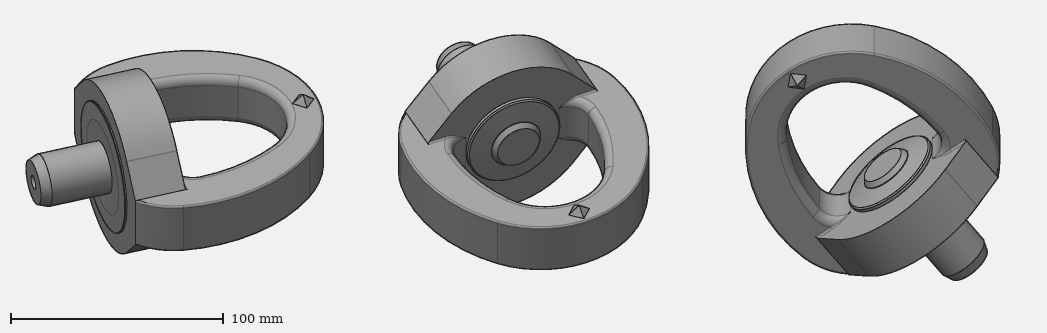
import cadquery as cq
import math


housing_depth = 25.0
housing_radius = 42.0
housing_half_width = 44.0

ring_thickness = 27.0
ring_half_thickness = ring_thickness / 2
ring_height = 106.0
ring_half_width = 57.32
ring_top_radius = 50.0
flank_radius = 80.0
flank_end_y = 20.0
ring_edge_fillet = 0.9
root_fillet = 0.9

window_top_y = 89.0
window_top_radius = 28.0
window_half_width = 34.7
window_edge_fillet = 4.0

mark_half_diagonal = 5.35
mark_height = 4.2
mark_y = 98.7

barrel_diameter = 40.0
flange_diameter = 64.0
flange_thickness = 1.0
flange_chamfer = 0.3
dish_diameter = 46.0
dish_depth = 0.3
cap_diameter = 48.0
cap_height = 2.3
cap_chamfer = 0.7
dome_height = 4.2
bush_bore_diameter = 25.6

bolt_diameter = 25.4
bolt_projection = 34.5
stub_height = 6.9
end_taper = 1.85
tip_taper_length = 5.0
stub_taper_length = 2.5

centre_hole_diameter = 3.15
centre_sink_diameter = 6.7
centre_sink_angle = 60.0
centre_pilot_length = 4.0
drill_point_angle = 120.0


def toward(start, target, distance):
    """Point at the given distance from start, in the direction of target."""
    span = math.dist(start, target)
    return tuple(s + (t - s) * distance / span for s, t in zip(start, target))


def mirrored(point):
    """The same point on the other side of the bolt axis."""
    return (-point[0], point[1])


def flank_center(half_width, top_center_y, top_radius):
    """Centre of the right flank arc that is tangent to the top arc and reaches half_width."""
    center_x = half_width - flank_radius
    drop = math.sqrt((flank_radius - top_radius) ** 2 - center_x**2)
    return (center_x, top_center_y - drop)


def on_circle(center, radius, angle):
    """Point on a circle at an angle in radians."""
    return (center[0] + radius * math.cos(angle), center[1] + radius * math.sin(angle))


def ring_plate():
    """Loop outline, closed across the housing front, with its rounded outer rim."""
    top_center = (0, ring_height - ring_top_radius)
    flank = flank_center(ring_half_width, top_center[1], ring_top_radius)
    shoulder = toward(flank, top_center, flank_radius)
    flank_end = on_circle(flank, flank_radius, math.asin((flank_end_y - flank[1]) / flank_radius))
    widest = (ring_half_width, flank[1])
    foot = (housing_half_width, 0)

    normal = toward((0, 0), (flank[0] - flank_end[0], flank[1] - flank_end[1]), 1)
    chord = (foot[0] - flank_end[0], foot[1] - flank_end[1])
    lower_radius = math.hypot(*chord) ** 2 / (2 * (normal[0] * chord[0] + normal[1] * chord[1]))
    lower_center = toward(flank_end, flank, lower_radius)
    chord_middle = ((flank_end[0] + foot[0]) / 2, (flank_end[1] + foot[1]) / 2)
    lower_middle = toward(lower_center, chord_middle, lower_radius)

    plate = (
        cq.Workplane("XY")
        .moveTo(*foot)
        .threePointArc(lower_middle, flank_end)
        .threePointArc(widest, shoulder)
        .threePointArc((0, ring_height), mirrored(shoulder))
        .threePointArc(mirrored(widest), mirrored(flank_end))
        .threePointArc(mirrored(lower_middle), mirrored(foot))
        .close()
        .extrude(ring_half_thickness, both=True)
    )
    return plate.faces("|Z").edges("not(|X)").fillet(ring_edge_fillet)


def window_cutter():
    """Prism that opens the ring."""
    top_center = (0, window_top_y - window_top_radius)
    flank = flank_center(window_half_width, top_center[1], window_top_radius)
    shoulder = toward(flank, top_center, flank_radius)
    flank_end = (window_half_width, flank[1])
    flank_middle_angle = math.atan2(shoulder[1] - flank[1], shoulder[0] - flank[0]) / 2
    flank_middle = on_circle(flank, flank_radius, flank_middle_angle)

    window_corner_radius = flank[1] - housing_depth
    corner_center = (window_half_width - window_corner_radius, flank[1])
    corner_middle = on_circle(corner_center, window_corner_radius, math.radians(-45))
    corner_end = (corner_center[0], corner_center[1] - window_corner_radius)
    return (
        cq.Workplane("XY")
        .moveTo(*corner_end)
        .threePointArc(corner_middle, flank_end)
        .threePointArc(flank_middle, shoulder)
        .threePointArc((0, window_top_y), mirrored(shoulder))
        .threePointArc(mirrored(flank_middle), mirrored(flank_end))
        .threePointArc(mirrored(corner_middle), mirrored(corner_end))
        .close()
        .extrude(ring_half_thickness, both=True)
    )


def housing_block():
    """Round plate whose sides run as tangents to the ring's corners."""
    corner = (housing_half_width, ring_half_thickness)
    corner_angle = math.atan2(corner[1], corner[0])
    tangent_angle = corner_angle + math.acos(housing_radius / math.hypot(*corner))
    tangent = on_circle((0, 0), housing_radius, tangent_angle)
    profile = (
        cq.Workplane("XZ")
        .moveTo(corner[0], -corner[1])
        .lineTo(*corner)
        .lineTo(*tangent)
        .threePointArc((0, housing_radius), mirrored(tangent))
        .lineTo(*mirrored(corner))
        .lineTo(-corner[0], -corner[1])
        .lineTo(-tangent[0], -tangent[1])
        .threePointArc((0, -housing_radius), (tangent[0], -tangent[1]))
        .close()
    )
    return profile.extrude(-housing_depth)


def mark(side):
    """Pyramid standing on the upper (side = 1) or lower (side = -1) ring face."""
    base_z = side * ring_half_thickness
    corners = [
        cq.Vector(mark_half_diagonal, mark_y, base_z),
        cq.Vector(0, mark_y + mark_half_diagonal, base_z),
        cq.Vector(-mark_half_diagonal, mark_y, base_z),
        cq.Vector(0, mark_y - mark_half_diagonal, base_z),
    ]
    apex = cq.Vector(0, mark_y, base_z + side * mark_height)
    faces = [cq.Face.makeFromWires(cq.Wire.makePolygon(corners, close=True))]
    for start, end in zip(corners, corners[1:] + corners[:1]):
        faces.append(cq.Face.makeFromWires(cq.Wire.makePolygon([start, end, apex], close=True)))
    return cq.Workplane(cq.Solid.makeSolid(cq.Shell.makeShell(faces)))


def turned(profile):
    """Solid of revolution about Y from (radius, y) points."""
    return cq.Workplane("XY").polyline(profile).close().revolve(360, (0, 0, 0), (0, 1, 0))


def make_ring():
    """Forged ring and housing in one piece, with the bore for the bush."""
    ring = ring_plate().cut(window_cutter())
    rim = cq.selectors.BoxSelector(
        (-window_half_width, housing_depth, -ring_thickness),
        (window_half_width, window_top_y, ring_thickness),
    )
    ring = ring.faces("|Z").edges(rim).fillet(window_edge_fillet)
    ring = ring.union(housing_block())

    corner_x = (window_half_width + housing_half_width) / 2
    for x in (corner_x, -corner_x):
        for z in (ring_half_thickness, -ring_half_thickness):
            root_edge = cq.selectors.NearestToPointSelector((x, housing_depth, z))
            ring = ring.edges(root_edge).fillet(root_fillet)

    for side in (1, -1):
        ring = ring.union(mark(side))
    bore = cq.Workplane("XZ").circle(barrel_diameter / 2).extrude(-housing_depth)
    return ring.cut(bore).solids()


def make_bush():
    """Bush with a dished flange in front of the housing and a domed cap behind it."""
    bore_radius = bush_bore_diameter / 2
    barrel_radius = barrel_diameter / 2
    flange_radius = flange_diameter / 2
    cap_radius = cap_diameter / 2
    return turned(
        [
            (bore_radius, dish_depth - flange_thickness),
            (dish_diameter / 2, -flange_thickness),
            (flange_radius - flange_chamfer, -flange_thickness),
            (flange_radius, flange_chamfer - flange_thickness),
            (flange_radius, 0),
            (barrel_radius, 0),
            (barrel_radius, housing_depth),
            (cap_radius, housing_depth),
            (cap_radius, housing_depth + cap_height - cap_chamfer),
            (cap_radius - cap_chamfer, housing_depth + cap_height),
            (bore_radius, housing_depth + dome_height),
        ]
    )


def make_bolt():
    """Round bolt, tapered at both ends and centre drilled at the tip."""
    radius = bolt_diameter / 2
    tip_y = -flange_thickness - bolt_projection
    stub_y = housing_depth + stub_height
    hole_radius = centre_hole_diameter / 2
    sink_radius = centre_sink_diameter / 2
    sink_end_y = tip_y + (sink_radius - hole_radius) / math.tan(math.radians(centre_sink_angle / 2))
    pilot_end_y = sink_end_y + centre_pilot_length
    drill_point_y = pilot_end_y + hole_radius / math.tan(math.radians(drill_point_angle / 2))
    return turned(
        [
            (0, drill_point_y),
            (hole_radius, pilot_end_y),
            (hole_radius, sink_end_y),
            (sink_radius, tip_y),
            (radius - end_taper, tip_y),
            (radius, tip_y + tip_taper_length),
            (radius, stub_y - stub_taper_length),
            (radius - end_taper, stub_y),
            (0, stub_y),
        ]
    )


ring = make_ring()
bush = make_bush()
bolt = make_bolt()
result = cq.Compound.makeCompound([ring.val(), bush.val(), bolt.val()])